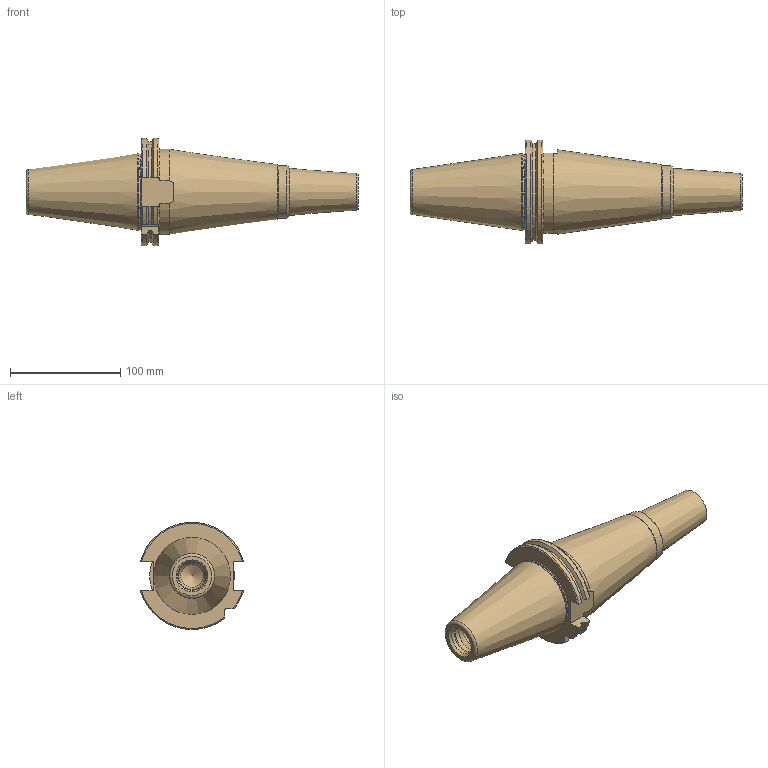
import cadquery as cq
import math


taper_length = 101.6
gauge_radius = 69.85 / 2
taper_slope = 7 / 48
shank_end_fillet = 2.5
gauge_land = 1.0
undercut_radius = 34.0

flange_start = 3.2
flange_end = 19.1
flange_radius = 97.5 / 2
flange_rim_fillet = 1.0
flange_root_fillet = 0.9
groove_centre = 11.1
groove_floor_radius = 91.25 / 2
groove_apex_radius = 43.3
groove_half_angle = math.radians(30)

nose_length = 200.0
body_radius = 38.9
body_cylinder_end = 28.5
body_cone_end = 126.5
body_cone_end_radius = 24.9
collar_start = 127.5
collar_radius = 24.0
collar_end = 135.5
nose_start = 137.4
nose_end_radius = 16.6
nose_taper = math.radians(4.5)
nose_end_chamfer = 1.0

slot_start = flange_start - flange_root_fillet
slot_width = 25.7
slot_floor_front = 37.5
slot_floor_back = 35.2
flat_width = 2 * body_radius
flat_end = 32.0

notch_offset_y = 29.7
notch_offset_z = 29.7
notch_corner_radius = 1.5

bore_mouth_radius = 14.5
bore_cone_angle = math.radians(30)
bore_entry_radius = 13.0
bore_entry_end = 6.0
bore_pilot_radius = 12.5
bore_pilot_end = 11.0
bore_core_radius = 10.4
bore_depth = 45.0
drill_tip_angle = math.radians(59)


def revolve_profile(points):
    """Revolve a closed (x, radius) outline about the X axis."""
    return cq.Workplane("XY").polyline(points).close().revolve(360, (0, 0, 0), (1, 0, 0))


def make_body():
    """Taper shank, undercut, body cone, collar and nose as one revolved solid."""
    shank_end_radius = gauge_radius - taper_length * taper_slope
    nose_start_radius = nose_end_radius + (nose_length - nose_start) * math.tan(nose_taper)
    outline = [
        (-taper_length, 0),
        (-taper_length, shank_end_radius),
        (0, gauge_radius),
        (gauge_land, gauge_radius),
        (gauge_land + gauge_radius - undercut_radius, undercut_radius),
        (flange_start, undercut_radius),
        (flange_start, body_radius),
        (body_cylinder_end, body_radius),
        (body_cone_end, body_cone_end_radius),
        (collar_start, collar_radius),
        (collar_end, collar_radius),
        (nose_start, nose_start_radius),
        (nose_length, nose_end_radius),
        (nose_length, 0),
    ]
    body = revolve_profile(outline)
    body = body.faces("<X").edges().fillet(shank_end_fillet)
    return body.faces(">X").edges().chamfer(nose_end_chamfer)


def make_flange():
    """Flange disc with the V-shaped gripper groove around its rim."""
    blank = (
        cq.Workplane("YZ", origin=(flange_start, 0, 0))
        .circle(flange_radius)
        .extrude(flange_end - flange_start)
        .faces("<X or >X")
        .edges()
        .fillet(flange_rim_fillet)
    )
    floor_half = (groove_floor_radius - groove_apex_radius) * math.tan(groove_half_angle)
    mouth_half = (flange_radius - groove_apex_radius) * math.tan(groove_half_angle)
    groove = revolve_profile([
        (groove_centre - mouth_half, flange_radius),
        (groove_centre - floor_half, groove_floor_radius),
        (groove_centre + floor_half, groove_floor_radius),
        (groove_centre + mouth_half, flange_radius),
    ])
    return blank.cut(groove)


def make_slot(side, floor):
    """Drive slot on the given Y side, with its floor running on across the body as a flat."""
    depth = flange_radius - floor
    centre_y = side * (floor + depth / 2)
    length = flange_end + flange_root_fillet - slot_start
    slot = cq.Workplane("XY").box(length, depth, slot_width, centered=(False, True, True))
    flat = (
        cq.Workplane("XY", origin=(flange_end - slot_start, 0, 0))
        .box(flat_end - flange_end, depth, flat_width, centered=(False, True, True))
    )
    return slot.union(flat).translate((slot_start, centre_y, 0))


def make_notch():
    """Square cut across the flange rim in the -Y, -Z quarter."""
    length = flange_end - flange_start
    notch = cq.Workplane("XY").box(length, flange_radius, flange_radius, centered=(False, False, False))
    notch = notch.edges(">Y and >Z").fillet(notch_corner_radius)
    return notch.translate((flange_start, -notch_offset_y - flange_radius, -notch_offset_z - flange_radius))


def cone_length(large_radius, small_radius, half_angle):
    return (large_radius - small_radius) / math.tan(half_angle)


def make_bore():
    """Pull stud bore: countersunk mouth, two guide diameters, core hole and drilled tip."""
    mouth_cone = cone_length(bore_mouth_radius, bore_entry_radius, bore_cone_angle)
    entry_cone = cone_length(bore_entry_radius, bore_pilot_radius, bore_cone_angle)
    pilot_cone = cone_length(bore_pilot_radius, bore_core_radius, bore_cone_angle)
    drill_tip = cone_length(bore_core_radius, 0, drill_tip_angle)
    outline = [
        (0, 0),
        (0, bore_mouth_radius),
        (mouth_cone, bore_entry_radius),
        (bore_entry_end, bore_entry_radius),
        (bore_entry_end + entry_cone, bore_pilot_radius),
        (bore_pilot_end, bore_pilot_radius),
        (bore_pilot_end + pilot_cone, bore_core_radius),
        (bore_depth, bore_core_radius),
        (bore_depth + drill_tip, 0),
    ]
    return revolve_profile(outline).translate((-taper_length, 0, 0))


def is_flange_root(edge):
    """True for the circles where the flange faces meet the undercut and the body."""
    if edge.geomType() != "CIRCLE":
        return False
    roots = [(flange_start, undercut_radius), (flange_end, body_radius)]
    return any(
        math.isclose(edge.Center().x, x, abs_tol=1e-3) and math.isclose(edge.radius(), radius, abs_tol=1e-3)
        for x, radius in roots
    )


holder = make_body().union(make_flange())
holder = holder.edges().filter(is_flange_root).fillet(flange_root_fillet)

result = (
    holder
    .cut(make_slot(-1, slot_floor_front))
    .cut(make_slot(1, slot_floor_back))
    .cut(make_notch())
    .cut(make_bore())
)